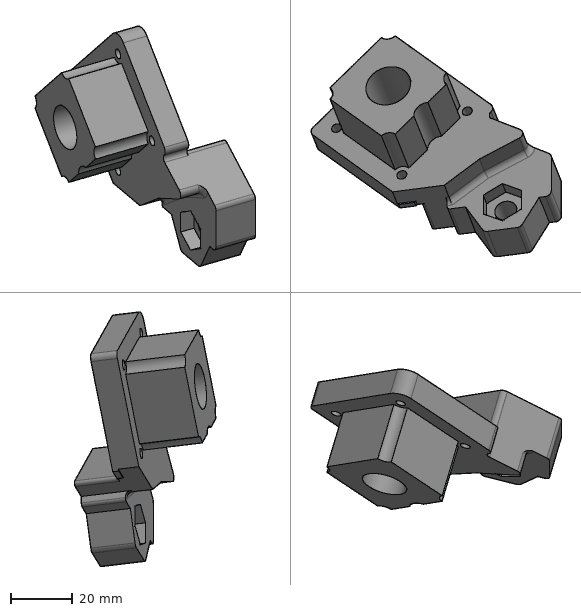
import cadquery as cq
import math

plate_thickness = 8.95
block_length = 20.0
arm_thickness = 15.0

plate_corner_reach = 31.3
top_corner_radius = 4.95
side_corner_radius = 2.05
plate_bottom_z = -28.2
lip_bottom_z = -28.65
lip_depth = 2.05
bore_diameter = 15.0
screw_hole_offset = 21.9
screw_hole_diameter = 3.3
screw_positions = [
    (screw_hole_offset, 0),
    (0, screw_hole_offset),
    (-screw_hole_offset, 0),
    (0, -screw_hole_offset),
]

block_corner_reach = 21.8
groove_radius = 3.3
side_notch_offset = 13.3
side_notch_radius = 4.7

round_radius = 2.0
small_round_radius = 1.0
notch_round_radius = 1.65
arm_right_x = 48.05
arm_step_x = 13.1
slope_angle = math.radians(31.4)
slope_start = (30.2, -4.2)
foot_half_width = 6.1
foot_height = 10.8

bolt_x = 31.65
bolt_z = -31.6
bolt_hole_diameter = 7.4
nut_across_flats = 12.8
nut_pocket_depth = 5.0

tail_start = (14.2, plate_bottom_z)
tail_bend = (26.0, -19.6)
tail_angle = math.radians(25.2)


def extrude_y(sketch_points, y_start, y_end):
    """Solid with an XZ outline between two Y positions."""
    plane = cq.Workplane("XZ", origin=(0, y_end, 0))
    return plane.polyline(sketch_points).close().extrude(y_end - y_start)


def cylinder_y(x, z, diameter, y_start, y_end):
    """Cylinder along Y."""
    plane = cq.Workplane("XZ", origin=(0, y_end, 0))
    return plane.center(x, z).circle(diameter / 2).extrude(y_end - y_start)


def round_corner(body, corner, radius):
    """Round the edge along Y that passes through an XZ corner."""
    x, z = corner
    reach = 0.1
    length = 157
    selector = cq.selectors.BoxSelector(
        (x - reach, -length, z - reach), (x + reach, length, z + reach), boundingbox=False
    )
    return body.edges("|Y").edges(selector).fillet(radius)


def slope_z(x):
    """Height of the sloping upper edge of the arm."""
    return slope_start[1] - math.tan(slope_angle) * (x - slope_start[0])


inner_x = (plate_corner_reach + slope_z(0)) / (1 + math.tan(slope_angle))
inner_corner = (inner_x, inner_x - plate_corner_reach)

left_of_tail = (plate_corner_reach + plate_bottom_z, plate_bottom_z)

tip_x = (slope_z(0) - tail_bend[1] + math.tan(tail_angle) * tail_bend[0]) / (
    math.tan(tail_angle) + math.tan(slope_angle)
)
tip = (tip_x, slope_z(tip_x))


def make_plate():
    left = (-plate_corner_reach, 0)
    top = (0, plate_corner_reach)
    right = (plate_corner_reach, 0)
    outline = [
        left,
        top,
        right,
        inner_corner,
        tip,
        tail_bend,
        tail_start,
        (-left_of_tail[0], plate_bottom_z),
    ]
    plate = extrude_y(outline, -plate_thickness, 0)
    plate = round_corner(plate, top, top_corner_radius)
    plate = round_corner(plate, left, side_corner_radius)
    plate = round_corner(plate, right, side_corner_radius)
    plate = round_corner(plate, inner_corner, notch_round_radius)
    return round_corner(plate, tip, round_radius)


def make_lip():
    """Shallow lip along the bottom of the plate, at its rear face."""
    top_half_width = left_of_tail[0]
    bottom_half_width = plate_corner_reach + lip_bottom_z
    outline = [
        (-top_half_width, plate_bottom_z),
        (top_half_width, plate_bottom_z),
        (bottom_half_width, lip_bottom_z),
        (-bottom_half_width, lip_bottom_z),
    ]
    return extrude_y(outline, -lip_depth, 0)


def make_block():
    reach = block_corner_reach
    outline = [(-reach, 0), (0, reach), (reach, 0), (0, -reach)]
    front_y = -plate_thickness - block_length
    block = extrude_y(outline, front_y, -plate_thickness)
    for x, z in screw_positions:
        block = block.cut(cylinder_y(x, z, 2 * groove_radius, front_y, -plate_thickness))
    notch = cylinder_y(
        side_notch_offset, -side_notch_offset, 2 * side_notch_radius, front_y, -plate_thickness
    )
    return block.cut(notch)


def make_arm(y_start):
    """Arm outline from y_start to the rear face."""
    foot_bottom_z = bolt_z - foot_height
    foot_top_half_width = foot_half_width + foot_height / math.sqrt(3)
    upper_right = (arm_right_x, slope_z(arm_right_x))
    lower_right = (arm_right_x, bolt_z)
    foot_right = (bolt_x + foot_half_width, foot_bottom_z)
    foot_left = (bolt_x - foot_half_width, foot_bottom_z)
    step_bottom = (arm_step_x, bolt_z)
    outline = [
        inner_corner,
        upper_right,
        lower_right,
        (bolt_x + foot_top_half_width, bolt_z),
        foot_right,
        foot_left,
        (bolt_x - foot_top_half_width, bolt_z),
        step_bottom,
        (arm_step_x, plate_bottom_z),
        left_of_tail,
    ]
    arm = extrude_y(outline, y_start, arm_thickness)
    for corner in (inner_corner, upper_right, lower_right, foot_right, foot_left):
        arm = round_corner(arm, corner, round_radius)
    for corner in (step_bottom, left_of_tail):
        arm = round_corner(arm, corner, small_round_radius)
    return arm


def make_seam_fillet():
    """Concave fillet below the tail, trimmed to the arm outline."""
    tail = extrude_y(
        [inner_corner, tip, tail_bend, tail_start, left_of_tail], -plate_thickness, 0
    )
    tail = round_corner(tail, tip, round_radius)
    base_margin = 23.55
    base = extrude_y(
        [
            (-base_margin, base_margin),
            (arm_right_x + base_margin, base_margin),
            (arm_right_x + base_margin, bolt_z - base_margin),
            (-base_margin, bolt_z - base_margin),
        ],
        0,
        arm_thickness,
    )
    seam_margin = 0.8
    seam_box = cq.selectors.BoxSelector(
        (left_of_tail[0], -seam_margin, plate_bottom_z - seam_margin),
        (tip_x, seam_margin, slope_start[1]),
        boundingbox=False,
    )
    filleted = tail.union(base).edges(seam_box).fillet(round_radius)
    return filleted.intersect(make_arm(-plate_thickness))


body = make_plate().union(make_lip()).union(make_block())
body = body.union(make_arm(0)).union(make_seam_fillet())

body = body.cut(cylinder_y(0, 0, bore_diameter, -plate_thickness - block_length, 0))
for screw_x, screw_z in screw_positions:
    body = body.cut(cylinder_y(screw_x, screw_z, screw_hole_diameter, -plate_thickness, 0))

body = body.cut(cylinder_y(bolt_x, bolt_z, bolt_hole_diameter, 0, arm_thickness))
nut_corner_radius = nut_across_flats / math.sqrt(3)
nut_sides = 6
nut_corner_step = 2 * math.pi / nut_sides
nut_corners = [
    (
        bolt_x + nut_corner_radius * math.sin(nut_corner_step * i),
        bolt_z + nut_corner_radius * math.cos(nut_corner_step * i),
    )
    for i in range(nut_sides)
]
result = body.cut(extrude_y(nut_corners, 0, nut_pocket_depth))